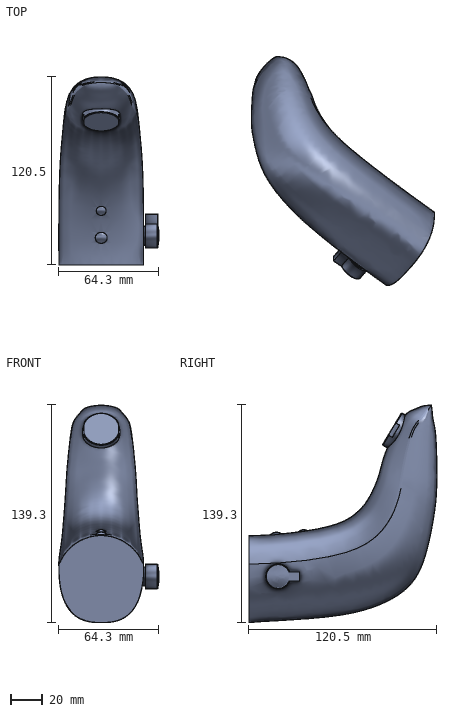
import cadquery as cq
import math

STATIONS = [
    ((0.0, 55.8), (0.0, 37.5), (0.0, 0.0), 27.15),
    ((28.8, 57.8), (33.8, 39.6), (36.2, 2.4), 27.15),
    ((56.2, 63.2), (62.2, 45.0), (70.2, 7.1), 26.5),
    ((70.2, 71.5), (80.2, 54.2), (97.2, 18.9), 25.2),
    ((77.2, 80.5), (91.2, 67.8), (111.9, 39.6), 24.0),
    ((82.9, 93.5), (96.7, 83.0), (118.9, 71.0), 22.9),
    ((86.4, 106.0), (99.4, 98.0), (120.46, 92.5), 22.0),
    ((93.2, 122.0), (104.6, 120.5), (119.8, 118.5), 19.6),
    ((100.2, 133.2), (110.6, 130.0), (118.1, 129.5), 17.0),
    ((106.1, 136.7), (114.1, 135.0), (117.5, 134.5), 13.0),
    ((111.1, 138.7), (115.8, 137.8), (117.2, 137.4), 9.3),
]
TIP = (0.0, 116.8, 139.3)
BACK_EXPONENT_FACE = 2.6
BACK_EXPONENT_TIP = 2.15
BACK_STEPS = 14
SECTIONS_PER_STATION = 4
BAND_SHARE_FACE = 0.04
BAND_SHARE_TIP = 0.14
BAND_INSET = 0.02

BUTTON_DIAMETER = 24.0
BUTTON_CENTER = (0.0, 91.6, 124.1)
BUTTON_NORMAL = (0.0, -0.858, 0.513)
BUTTON_DEPTH = 8.0
BUTTON_CHAMFER = 0.5
BUTTON_FLATS = 22.2
BUTTON_FLAT_DEPTH = 3.0

STUDS = [(17.7, 3.5, 56.7, 1.3), (35.2, 3.1, 58.5, 1.1)]

KNOB_Y = 18.75
KNOB_Z = 29.6
KNOB_DIAMETER = 16.0
KNOB_START = 28.2
KNOB_END = 36.2
KNOB_CHAMFER = 0.4
KNOB_TOP = 37.11
NECK_DIAMETER = 12.34
NECK_ROOT = 15.0
DOME_RIM_RADIUS = 7.2
LEVER_TIP_Y = 32.5
LEVER_HEIGHT = 5.8


def between(start, end, share):
    return tuple(a + (b - a) * share for a, b in zip(start, end))


def section(front, seam, back, half_width, exponent, band_share):
    """Closed section: round back half, narrow band on each side, arc across the front."""
    back_points = []
    for step in range(BACK_STEPS + 1):
        angle = math.pi * step / BACK_STEPS
        across = abs(math.cos(angle)) ** (2 / exponent)
        depth = math.sin(angle) ** (2 / exponent) if 0 < step < BACK_STEPS else 0.0
        side = math.copysign(half_width * across, math.cos(angle))
        back_points.append(cq.Vector(side, *between(seam, back, depth)))
    back_edge = cq.Edge.makeSpline(back_points)

    band = between(seam, front, band_share)
    band_width = half_width * (1 - BAND_INSET)
    band_right = cq.Vector(band_width, *band)
    band_left = cq.Vector(-band_width, *band)
    front_edge = cq.Edge.makeThreePointArc(band_left, cq.Vector(0, *front), band_right)
    return cq.Wire.assembleEdges([
        back_edge,
        cq.Edge.makeLine(back_points[-1], band_left),
        front_edge,
        cq.Edge.makeLine(band_right, back_points[0]),
    ])


def rail(points):
    """Smooth lengthwise curve that passes station number n at parameter n."""
    vectors = [cq.Vector(*point) for point in points]
    return cq.Edge.makeSpline(vectors, parameters=range(len(vectors)))


def make_body():
    """Loft through sections spaced evenly along the front, seam and back rails, closed at the tip."""
    front_rail = rail([(0, *front) for front, seam, back, half_width in STATIONS] + [TIP])
    back_rail = rail([(0, *back) for front, seam, back, half_width in STATIONS] + [TIP])
    seam_points = [(half_width, *seam) for front, seam, back, half_width in STATIONS]
    mirrored_points = [(-x, y, z) for x, y, z in reversed(seam_points)]
    seam_rail = rail(seam_points + [TIP] + mirrored_points)

    sections = []
    for index in range(len(STATIONS) * SECTIONS_PER_STATION):
        place = index / SECTIONS_PER_STATION
        front, seam, back = (
            curve.positionAt(place, mode="parameter") for curve in (front_rail, seam_rail, back_rail)
        )
        progress = place / len(STATIONS)
        exponent = BACK_EXPONENT_FACE + (BACK_EXPONENT_TIP - BACK_EXPONENT_FACE) * progress
        band_share = BAND_SHARE_FACE + (BAND_SHARE_TIP - BAND_SHARE_FACE) * progress
        outline = section(
            (front.y, front.z), (seam.y, seam.z), (back.y, back.z), seam.x, exponent, band_share
        )
        sections.append(outline)
    sections.append(cq.Vertex.makeVertex(*TIP))
    body = cq.occ_impl.shapes.loft(sections, cap=True, compat=False, continuity="C1")
    return cq.Workplane(obj=body)


def make_button():
    """Disc with a chamfered face and a shallow flat on each side."""
    plane = cq.Plane(origin=BUTTON_CENTER, xDir=(1, 0, 0), normal=BUTTON_NORMAL)
    button = (
        cq.Workplane(plane)
        .circle(BUTTON_DIAMETER / 2)
        .extrude(-BUTTON_DEPTH)
        .faces(cq.selectors.DirectionMinMaxSelector(cq.Vector(*BUTTON_NORMAL), True))
        .chamfer(BUTTON_CHAMFER)
    )
    flats = (
        cq.Workplane(plane)
        .rect(2 * BUTTON_DIAMETER, 2 * BUTTON_DIAMETER)
        .rect(BUTTON_FLATS, 2 * BUTTON_DIAMETER)
        .extrude(-BUTTON_FLAT_DEPTH)
    )
    return button.cut(flats)


def make_stud(y, rim_radius, rim_z, height):
    """Ball sunk into the body so that only a dome shows."""
    radius = (rim_radius**2 + height**2) / (2 * height)
    return cq.Workplane().sphere(radius).translate((0, y, rim_z + height - radius))


def make_knob():
    """Neck, round knob with a domed end, and a lever pointing along +Y."""
    plane = cq.Plane(origin=(0, KNOB_Y, KNOB_Z), xDir=(0, 1, 0), normal=(1, 0, 0))
    length = KNOB_END - KNOB_START
    lever_reach = LEVER_TIP_Y - KNOB_Y
    dome_height = KNOB_TOP - KNOB_END
    dome_middle = (KNOB_END + 0.75 * dome_height, DOME_RIM_RADIUS / 2)

    neck = cq.Workplane(plane).workplane(offset=NECK_ROOT).circle(NECK_DIAMETER / 2)
    neck = neck.extrude(KNOB_START - NECK_ROOT)
    lever = cq.Workplane(plane).workplane(offset=KNOB_START).center(lever_reach / 2, 0)
    lever = lever.rect(lever_reach, LEVER_HEIGHT).extrude(length)
    knob = cq.Workplane(plane).workplane(offset=KNOB_START).circle(KNOB_DIAMETER / 2).extrude(length)
    knob = knob.faces(">X").chamfer(KNOB_CHAMFER)
    dome = (
        cq.Workplane("XY")
        .moveTo(KNOB_START, 0)
        .lineTo(KNOB_TOP, 0)
        .threePointArc(dome_middle, (KNOB_END, DOME_RIM_RADIUS))
        .lineTo(KNOB_START, DOME_RIM_RADIUS)
        .close()
        .revolve(360, (0, 0, 0), (1, 0, 0))
        .translate((0, KNOB_Y, KNOB_Z))
    )
    return neck.union(lever).union(knob).union(dome)


result = make_body().union(make_button()).union(make_knob())
for stud in STUDS:
    result = result.union(make_stud(*stud))